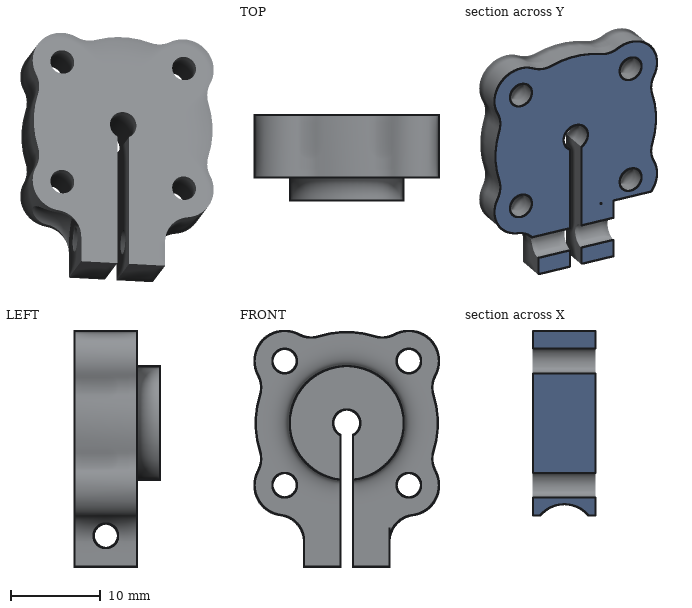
import cadquery as cq
import math

PLATE_THICKNESS = 6.99
HUB_RADIUS = 10.16
LOBE_RADIUS = 3.37
HOLE_CIRCLE_DIAMETER = 19.56
HOLE_OFFSET = HOLE_CIRCLE_DIAMETER / 2 / math.sqrt(2)
HOLE_DIAMETER = 2.7
HOLLOW_RADIUS = 2.9

BOSS_DIAMETER = 12.7
BOSS_HEIGHT = 2.54
BORE_DIAMETER = 3.0

STEM_WIDTH = 9.53
STEM_BOTTOM = -16.0
STEM_BLEND_RADIUS = 2.93
SLOT_WIDTH = 1.35
CLAMP_HOLE_DIAMETER = 2.7
CLAMP_HOLE_Z = STEM_BOTTOM + 3.45
HEAD_SEAT_DIAMETER = 6.98

TOTAL_DEPTH = BOSS_HEIGHT + PLATE_THICKNESS
LOBE_CENTERS = [(sx * HOLE_OFFSET, sz * HOLE_OFFSET) for sx in (-1, 1) for sz in (-1, 1)]


def point_towards(start, end, distance):
    """Point at the given distance from start on the line to end."""
    scale = distance / math.dist(start, end)
    return tuple(s + (e - s) * scale for s, e in zip(start, end))


def swap(point):
    """Reflect across the diagonal through the upper right lobe."""
    return (point[1], point[0])


def mirror_z(point):
    """Reflect from the upper half to the lower half."""
    return (point[0], -point[1])


def arc_through(center, start, end):
    """Start, middle and end of the minor arc around center."""
    chord_middle = ((start[0] + end[0]) / 2, (start[1] + end[1]) / 2)
    return start, point_towards(center, chord_middle, math.dist(center, start)), end


def hollow_arc():
    """Hub end, middle and lobe end of the blend above and left of the upper right screw hole."""
    hub_reach = HUB_RADIUS + HOLLOW_RADIUS
    lobe_reach = LOBE_RADIUS + HOLLOW_RADIUS
    lobe_distance = HOLE_OFFSET * math.sqrt(2)
    cosine = (hub_reach**2 + lobe_distance**2 - lobe_reach**2) / (2 * hub_reach * lobe_distance)
    angle = math.pi / 4 + math.acos(cosine)
    center = (hub_reach * math.cos(angle), hub_reach * math.sin(angle))
    hub_end = point_towards(center, (0, 0), HOLLOW_RADIUS)
    lobe_end = point_towards(center, (HOLE_OFFSET, HOLE_OFFSET), HOLLOW_RADIUS)
    return arc_through(center, hub_end, lobe_end)


def stem_arc():
    """Lobe end, middle and stem end of the blend under the lower right lobe."""
    center_x = STEM_WIDTH / 2 + STEM_BLEND_RADIUS
    drop = math.sqrt((LOBE_RADIUS + STEM_BLEND_RADIUS) ** 2 - (center_x - HOLE_OFFSET) ** 2)
    center = (center_x, -HOLE_OFFSET - drop)
    lobe_end = point_towards(center, (HOLE_OFFSET, -HOLE_OFFSET), STEM_BLEND_RADIUS)
    stem_end = (STEM_WIDTH / 2, center[1])
    return arc_through(center, lobe_end, stem_end)


def make_plate():
    hub_end, hollow_middle, hollow_end = hollow_arc()
    blend_start, blend_middle, blend_end = stem_arc()
    lobe_tip = HOLE_OFFSET + LOBE_RADIUS / math.sqrt(2)

    right_arcs = [
        arc_through((0, 0), (0, HUB_RADIUS), hub_end)[1:],
        (hollow_middle, hollow_end),
        ((lobe_tip, lobe_tip), swap(hollow_end)),
        (swap(hollow_middle), swap(hub_end)),
        ((HUB_RADIUS, 0), mirror_z(swap(hub_end))),
        (mirror_z(swap(hollow_middle)), mirror_z(swap(hollow_end))),
        ((lobe_tip, -lobe_tip), blend_start),
        (blend_middle, blend_end),
    ]
    half = cq.Workplane("XZ").moveTo(0, HUB_RADIUS)
    for middle, end in right_arcs:
        half = half.threePointArc(middle, end)
    half = half.lineTo(STEM_WIDTH / 2, STEM_BOTTOM).lineTo(0, STEM_BOTTOM).close()
    half = half.extrude(-PLATE_THICKNESS)
    return half.union(half.mirror("YZ")).clean()


def make_boss():
    return cq.Workplane("XZ").circle(BOSS_DIAMETER / 2).extrude(BOSS_HEIGHT)


def through_y(sketch):
    """Cutter running along Y through boss and plate."""
    return sketch.extrude(-TOTAL_DEPTH)


def front_plane():
    return cq.Workplane("XZ", origin=(0, -BOSS_HEIGHT, 0))


def screw_holes():
    return through_y(front_plane().pushPoints(LOBE_CENTERS).circle(HOLE_DIAMETER / 2))


def bore_and_slot():
    bore = through_y(front_plane().circle(BORE_DIAMETER / 2))
    slot = through_y(front_plane().center(0, STEM_BOTTOM / 2).rect(SLOT_WIDTH, -STEM_BOTTOM))
    return bore.union(slot)


def clamp_axis(start_x):
    """Workplane facing +X, centered on the clamp screw at the given X."""
    return cq.Workplane("YZ", origin=(start_x, PLATE_THICKNESS / 2, CLAMP_HOLE_Z))


def clamp_hole():
    return clamp_axis(-STEM_WIDTH).circle(CLAMP_HOLE_DIAMETER / 2).extrude(2 * STEM_WIDTH)


def head_seat():
    """Cutter level with the +X side of the stem that clears the blend and lobe beside it."""
    reach = HOLE_OFFSET + LOBE_RADIUS
    return clamp_axis(STEM_WIDTH / 2).circle(HEAD_SEAT_DIAMETER / 2).extrude(reach)


body = make_plate().union(make_boss())
result = body.cut(screw_holes()).cut(bore_and_slot()).cut(clamp_hole()).cut(head_seat())